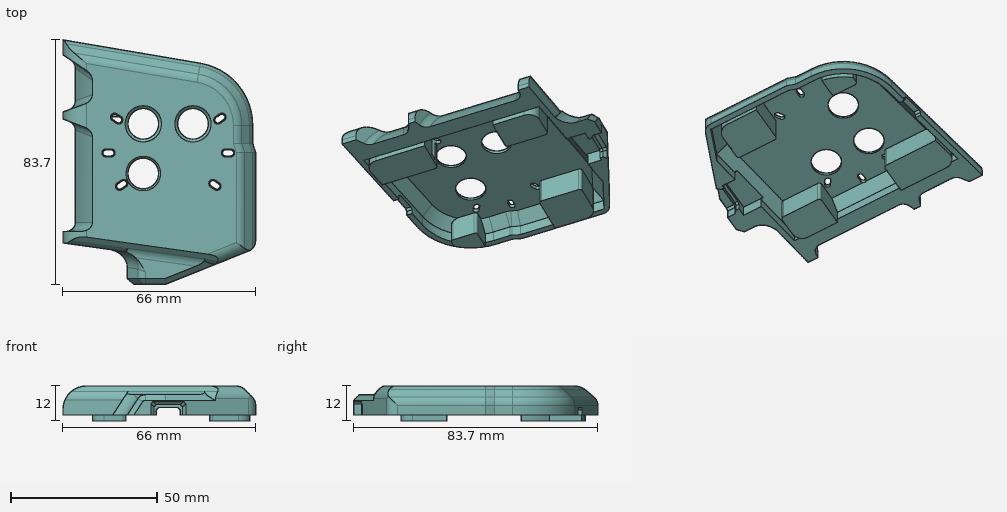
import cadquery as cq
import math

width = 66.0
length = 83.67
height = 10.0
plate_thickness = 2.0
wall_thickness = 2.0
pad_drop = 2.0
margin = 10.0

back_angle = 9.65
front_angle = 8.0
diagonal_angle = 21.8
front_left_y = 14.1
back_arc_radius = 21.6
upper_width = 65.0
step_start_y = 48.2
step_end_y = 45.1
corner_radius = 4.0

left_round = 8.0
rim_chamfer = 5.0
rim_round = 4.0
front_chamfer = 3.14
diagonal_round = 4.3

shelf_height = 7.0
shelf_left_x = 22.0
shelf_tip_x = 35.2
shelf_side_angle = 57.0
shelf_side_round = 3.0
shelf_chamfer = 1.9
shelf_blend = 4.0
corner_blend_radius = 5.9
blend_foot_x = 17.0

scallop_foot_x = 4.4
scallop_top_x = 10.3
scallop_bulge = 0.7
scallop_round = 3.0
tip_y = 57.75
tip_width = 2.5
tip_upper_slope = 0.355
tip_lower_slope = 0.37
upper_end_y = 78.5
upper_end_slope = 0.665
lower_end_y = 18.1

cavity_left_x = 10.1
cavity_chamfer = 3.8
shelf_roof = 2.0
opening_center_x = 36.05
mouth_width = 12.0
mouth_height = 4.7
mouth_depth = 3.0
mouth_taper = 1.1
shelf_room_left_x = 28.0
shelf_room_front_y = 5.2
notch_width = 8.1
notch_height = 2.6
notch_chamfer = 0.8

bore_diameter = 10.4
bore_x = 27.5
bore_y = 54.9
bore_pitch = 17.0
bore_chamfer = 1.0
third_bore_chamfer = 0.7
slot_width = 2.0
slot_pitch = 1.7
slot_chamfer = 0.4
slot_tilt = 34.0
slot_center_x = 36.05
slot_rows = [
    (56.7, 17.65, slot_tilt),
    (44.95, 20.45, 0.0),
    (34.0, 15.95, -slot_tilt),
]

pad_inner_round = 1.0
pad_outer_round = 4.0
pads = [
    (cavity_left_x, 21.6, 57.3, 79.35, "<X", ">Y"),
    (cavity_left_x, 21.6, 16.2, 31.9, "<X", "<Y"),
    (50.2, 64.0, 16.2, 31.9, ">X", "<Y"),
    (55.4, 63.0, 57.3, 67.1, ">X", ">Y"),
]

front_slope = math.tan(math.radians(front_angle))
half_turn = math.radians(45) / 2
round_tangent = rim_round * math.tan(half_turn)
round_leg = round_tangent * math.sin(2 * half_turn)
round_sag = rim_round * (1 - math.cos(half_turn))
back_slope = math.tan(math.radians(back_angle))
diagonal_slope = math.tan(math.radians(diagonal_angle))


def front_y(x):
    return front_left_y - front_slope * x


def back_y(x):
    return length - back_slope * x


def diagonal_y(x):
    return diagonal_slope * (x - shelf_tip_x)


diagonal_start_x = (front_left_y + diagonal_slope * shelf_tip_x) / (diagonal_slope + front_slope)
arc_center_x = upper_width - back_arc_radius
arc_center_y = back_y(arc_center_x) - back_arc_radius / math.cos(math.radians(back_angle))
arc_start = (
    arc_center_x + back_arc_radius * math.sin(math.radians(back_angle)),
    arc_center_y + back_arc_radius * math.cos(math.radians(back_angle)),
)
arc_middle_angle = math.radians((90 - back_angle) / 2)
arc_middle = (
    arc_center_x + back_arc_radius * math.cos(arc_middle_angle),
    arc_center_y + back_arc_radius * math.sin(arc_middle_angle),
)


def edge_cutter(profile, start, direction_angle, reach):
    """Prism along an outline edge; profile x runs inward (left of the direction), y runs up."""
    direction = math.radians(direction_angle)
    along = cq.Vector(math.cos(direction), math.sin(direction), 0)
    inward = cq.Vector(-math.sin(direction), math.cos(direction), 0)
    plane = cq.Plane(origin=(start[0], start[1], 0), xDir=inward.toTuple(), normal=along.toTuple())
    return profile(cq.Workplane(plane)).extrude(reach)


def rounded_foot(plane, low):
    """Starts a profile with the rounding from an upright wall, corner at low, into a 45 degree chamfer."""
    return plane.moveTo(0, low - round_tangent).threePointArc(
        (round_sag, low - round_tangent + rim_round * math.sin(half_turn)),
        (round_leg, low + round_leg),
    )


def close_above(profile, inner_x, low_z):
    """Closes an edge profile around the space above and outside it."""
    return (
        profile.lineTo(inner_x, height + margin)
        .lineTo(-margin, height + margin)
        .lineTo(-margin, low_z)
        .close()
    )


def rim_profile(plane):
    """Area above a 45 degree chamfer whose two ends are rounded."""
    low = height - rim_chamfer
    inner_x = rim_chamfer + round_tangent
    profile = (
        rounded_foot(plane, low)
        .lineTo(rim_chamfer - round_leg, height - round_leg)
        .threePointArc(
            (inner_x - rim_round * math.sin(half_turn), height - round_sag), (inner_x, height)
        )
    )
    return close_above(profile, inner_x, low - round_tangent)


def front_profile(plane):
    """Area above a 45 degree chamfer with a rounded foot and a sharp upper edge."""
    low = height - front_chamfer
    return close_above(rounded_foot(plane, low), front_chamfer + margin, low - round_tangent)


def quarter_round_profile(radius):
    """Makes a profile for the area above a quarter round."""

    def draw(plane):
        middle = radius * (1 - math.sqrt(0.5))
        profile = plane.moveTo(0, height - radius).threePointArc(
            (middle, height - middle), (radius, height)
        )
        return close_above(profile, radius, height - radius)

    return draw


def full_outline():
    """Plan of the main body and shelf area together."""
    return (
        cq.Workplane("XY")
        .lineTo(shelf_tip_x, 0)
        .lineTo(width, diagonal_y(width))
        .lineTo(width, length)
        .lineTo(0, length)
        .close()
    )


def main_outline():
    return (
        cq.Workplane("XY")
        .moveTo(0, front_left_y)
        .lineTo(diagonal_start_x, front_y(diagonal_start_x))
        .lineTo(width, diagonal_y(width))
        .lineTo(width, step_end_y)
        .lineTo(upper_width, step_start_y)
        .lineTo(upper_width, arc_center_y)
        .threePointArc(arc_middle, arc_start)
        .lineTo(0, length)
        .close()
    )


def main_body():
    body = main_outline().extrude(height)
    body = body.edges(cq.NearestToPointSelector((width, diagonal_y(width), height / 2)))
    body = body.fillet(corner_radius)
    reach = length + 2 * margin
    cutters = [
        edge_cutter(quarter_round_profile(left_round), (0, reach), -90, 2 * reach),
        edge_cutter(front_profile, (-margin, front_y(-margin)), -front_angle, reach),
        edge_cutter(
            quarter_round_profile(diagonal_round),
            (shelf_tip_x - margin, diagonal_y(shelf_tip_x - margin)),
            diagonal_angle,
            reach,
        ),
        edge_cutter(rim_profile, (width, 0), 90, step_end_y),
        edge_cutter(rim_profile, (upper_width, step_start_y), 90, arc_center_y - step_start_y),
        edge_cutter(rim_profile, arc_start, 180 - back_angle, reach),
        back_corner_cutter(),
        step_cutter(),
    ]
    for cutter in cutters:
        body = body.cut(cutter)
    return body


def right_side_plane(x, y):
    return cq.Workplane(cq.Plane(origin=(x, y, 0), xDir=(-1, 0, 0), normal=(0, 1, 0)))


def back_corner_cutter():
    section = rim_profile(right_side_plane(upper_width, arc_center_y))
    return section.revolve(90 - back_angle, (back_arc_radius, 0, 0), (back_arc_radius, 1, 0))


def step_cutter():
    lower = rim_profile(right_side_plane(width, step_end_y)).wires().vals()[0]
    upper = rim_profile(right_side_plane(upper_width, step_start_y)).wires().vals()[0]
    return cq.Workplane(cq.Solid.makeLoft([lower, upper], True))


def leaning_side(foot_x, top_z):
    """Block to the right of a side wall that leans away at the shelf side angle."""
    lean = top_z / math.tan(math.radians(shelf_side_angle))
    return (
        cq.Workplane("XZ")
        .moveTo(foot_x, 0)
        .lineTo(foot_x + lean, top_z)
        .lineTo(width, top_z)
        .lineTo(width, 0)
        .close()
        .extrude(2 * front_left_y, both=True)
    )


def front_strip(depth):
    """Upright band behind the line of the front edge."""
    start_x = -margin
    end_x = width + margin
    return (
        cq.Workplane("XY")
        .moveTo(start_x, front_y(start_x))
        .lineTo(end_x, front_y(end_x))
        .lineTo(end_x, front_y(end_x) + depth)
        .lineTo(start_x, front_y(start_x) + depth)
        .close()
        .extrude(2 * height)
    )


def shelf_edge_profile(plane):
    """Area above the chamfer along the diagonal edge of the shelf."""
    low = shelf_height - shelf_chamfer
    return (
        plane.moveTo(-margin, low)
        .lineTo(0, low)
        .lineTo(shelf_chamfer + margin, shelf_height + margin)
        .lineTo(-margin, shelf_height + margin)
        .close()
    )


def shelf_roll_profile(plane):
    """Area above the shelf top, its concave rounding and the 45 degree front face."""
    inset = shelf_height - (height - front_chamfer)
    tangent = shelf_blend * math.tan(half_turn)
    leg = tangent * math.sin(2 * half_turn)
    middle_inset = inset - tangent + shelf_blend * math.sin(half_turn)
    middle_z = shelf_height + shelf_blend * (1 - math.cos(half_turn))
    return (
        plane.moveTo(-2 * margin, shelf_height)
        .lineTo(inset - tangent, shelf_height)
        .threePointArc((middle_inset, middle_z), (inset + leg, shelf_height + leg))
        .lineTo(inset + margin, shelf_height + margin)
        .lineTo(-2 * margin, shelf_height + margin)
        .close()
    )


def is_shelf_junction(edge):
    """True for the edges where the side and top of the shelf meet the upright front wall."""
    tolerance = 0.2
    center = edge.Center()
    on_wall = abs(center.y - front_y(center.x)) < tolerance
    above_rim = center.z > tolerance
    not_above_shelf = edge.BoundingBox().zmax < shelf_height + tolerance
    not_at_right_end = center.x < width - tolerance
    return on_wall and above_rim and not_above_shelf and not_at_right_end


def shelf():
    block = leaning_side(shelf_left_x, shelf_height)
    block = block.edges("|Y").edges(">Z").edges("<X").fillet(shelf_side_round)
    block = block.cut(front_strip(length)).union(front_strip(wall_thickness))
    junction = [edge for edge in block.edges().vals() if is_shelf_junction(edge)]
    block = block.newObject([block.val().fillet(corner_blend_radius, junction)])
    block = block.intersect(leaning_side(blend_foot_x, height))
    front_start = (-margin, front_y(-margin))
    diagonal_start = (shelf_tip_x - margin, diagonal_y(shelf_tip_x - margin))
    block = block.cut(edge_cutter(shelf_roll_profile, front_start, -front_angle, 2 * length))
    ahead = cq.Workplane("XY").box(4 * width, 2 * length, 4 * height).translate((0, -length, 0))
    block = block.cut(ahead)
    block = block.faces("<Y").edges("not <Z").edges("not |Z").chamfer(shelf_chamfer)
    block = block.cut(edge_cutter(shelf_edge_profile, diagonal_start, diagonal_angle, length))
    return block.intersect(full_outline().extrude(height))


def scallop(corners):
    """Cutter left of a leaning wall between two upright end walls, its two inner edges rounded."""
    mid_x = (scallop_foot_x + scallop_top_x) / 2 - scallop_bulge
    overlap = 1.0
    per_z = (scallop_top_x - scallop_foot_x) / height
    left = (
        cq.Workplane("XZ")
        .moveTo(scallop_foot_x - per_z * overlap, -overlap)
        .threePointArc((mid_x, height / 2), (scallop_top_x + per_z * overlap, height + overlap))
        .lineTo(-margin, height + overlap)
        .lineTo(-margin, -overlap)
        .close()
        .extrude(-2 * length)
    )
    plan = cq.Workplane("XY").workplane(offset=-overlap).polyline(corners).close().extrude(2 * height)
    cutter = left.intersect(plan)
    return cutter.faces(">X").edges().edges("not <Z").edges("not >Z").fillet(scallop_round)


def scallop_plan(near_y, near_slope, far_y, far_slope):
    """Corners of a scallop between two straight end walls, each given by its Y at X = 0 and slope."""
    left_x = -margin
    right_x = 2 * margin
    return [
        (left_x, near_y + near_slope * left_x),
        (right_x, near_y + near_slope * right_x),
        (right_x, far_y + far_slope * right_x),
        (left_x, far_y + far_slope * left_x),
    ]


def scallops():
    upper = scallop_plan(tip_y + tip_width / 2, tip_upper_slope, upper_end_y, -upper_end_slope)
    lower = scallop_plan(lower_end_y, 0, tip_y - tip_width / 2, -tip_lower_slope)
    return [scallop(upper), scallop(lower)]


def inner_outline():
    return main_outline().offset2D(-wall_thickness)


def cavity():
    left_wall = cq.Workplane("XY").box(2 * cavity_left_x, 4 * length, 4 * height)
    main_room = inner_outline().extrude(height - plate_thickness).cut(left_wall)
    main_room = main_room.faces(">Z").edges().chamfer(cavity_chamfer)
    return main_room.union(shelf_room())


def shelf_room():
    right_x = opening_center_x + mouth_width / 2
    return (
        cq.Workplane("XY")
        .moveTo(shelf_room_left_x, shelf_room_front_y)
        .lineTo(right_x, shelf_room_front_y)
        .lineTo(right_x, front_left_y)
        .lineTo(shelf_room_left_x, front_left_y)
        .close()
        .extrude(shelf_height - shelf_roof)
    )


def pad(x_min, x_max, y_min, y_max, x_side, y_side):
    """Column from the top plate down to the pad's foot."""
    block = (
        cq.Workplane("XY")
        .box(x_max - x_min, y_max - y_min, height + pad_drop, centered=False)
        .translate((x_min, y_min, -pad_drop))
    )
    block = block.edges("|Z").edges(x_side).edges(y_side).fillet(pad_outer_round)
    inner_side = "<X" if x_side == ">X" else ">X"
    return block.edges("|Z").edges(inner_side).fillet(pad_inner_round)


def pad_columns():
    columns = pad(*pads[0])
    for place in pads[1:]:
        columns = columns.union(pad(*place))
    return columns


def cable_section(plane, opening_width, opening_height):
    """Opening outline, cut at its upper corners and running below the rim by the same height."""
    half_width = opening_width / 2
    shoulder = half_width - notch_chamfer
    return plane.polyline(
        [
            (-half_width, -opening_height),
            (half_width, -opening_height),
            (half_width, opening_height - notch_chamfer),
            (shoulder, opening_height),
            (-shoulder, opening_height),
            (-half_width, opening_height - notch_chamfer),
        ]
    ).close()


def cable_passage():
    """Wide mouth at the front, tapering to a throat, and a low notch through to the back wall."""
    throat_width = mouth_width - 2 * mouth_taper
    throat_height = mouth_height - mouth_taper
    entry = cq.Workplane("XZ", origin=(opening_center_x, 0, 0))
    taper_start = cq.Workplane("XZ", origin=(opening_center_x, mouth_depth, 0))
    mouth = cable_section(entry, mouth_width, mouth_height).extrude(-mouth_depth)
    throat = cable_section(taper_start, throat_width, throat_height)
    throat = throat.extrude(mouth_depth - shelf_room_front_y)
    notch = cable_section(entry, notch_width, notch_height).extrude(-length)
    wide = cable_section(taper_start, mouth_width, mouth_height)
    narrow_plane = wide.workplane(offset=-mouth_taper)
    taper = cable_section(narrow_plane, throat_width, throat_height).loft(ruled=True)
    return mouth.union(taper).union(throat).union(notch)


def bore(x, y, chamfer):
    hole = cq.Workplane("XY").circle(bore_diameter / 2).extrude(height)
    sink = (
        cq.Workplane("XY")
        .workplane(offset=height - chamfer)
        .circle(bore_diameter / 2)
        .workplane(offset=chamfer)
        .circle(bore_diameter / 2 + chamfer)
        .loft()
    )
    return hole.union(sink).translate((x, y, 0))


def slot(x, y, tilt):
    hole = cq.Workplane("XY").slot2D(slot_pitch + slot_width, slot_width).extrude(2 * height)
    sink = (
        cq.Workplane("XY")
        .workplane(offset=height)
        .slot2D(slot_pitch + slot_width + 2 * slot_chamfer, slot_width + 2 * slot_chamfer)
        .extrude(-slot_chamfer, taper=45)
    )
    return hole.union(sink).rotate((0, 0, 0), (0, 0, 1), tilt).translate((x, y, 0))


def holes():
    cutters = [
        bore(bore_x, bore_y, bore_chamfer),
        bore(bore_x + bore_pitch, bore_y, bore_chamfer),
        bore(bore_x, bore_y - bore_pitch, third_bore_chamfer),
    ]
    for y, reach, tilt in slot_rows:
        for side in (-1, 1):
            cutters.append(slot(slot_center_x + side * reach, y, side * tilt))
    return cutters


columns = pad_columns()
result = main_body().union(shelf())
for cutter in scallops():
    result = result.cut(cutter)
result = result.cut(cavity().cut(columns))
result = result.union(inner_outline().extrude(-pad_drop).intersect(columns))
result = result.cut(cable_passage())
for cutter in holes():
    result = result.cut(cutter)